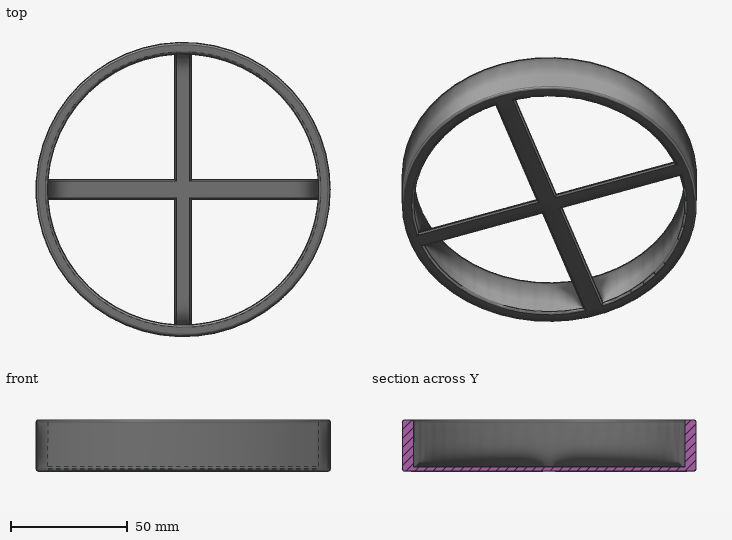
import cadquery as cq

outer_diameter = 126.0
bore_diameter = 116.0
height = 22.0
rim_radius = 1.0

x_spoke_width = 8.7
y_spoke_width = 7.2
spoke_thickness = 2.0
spoke_chamfer = 0.8
spoke_end_diameter = (outer_diameter + bore_diameter) / 2


def make_ring():
    """Plain ring with all four rims rounded."""
    ring = cq.Workplane("XY").circle(outer_diameter / 2).circle(bore_diameter / 2).extrude(height)
    return ring.edges("%CIRCLE").fillet(rim_radius)


def make_spokes():
    """Flat cross with its top and bottom edges chamfered and its ends hidden in the ring wall."""
    x_spoke = cq.Workplane("XY").rect(outer_diameter, x_spoke_width).extrude(spoke_thickness)
    y_spoke = cq.Workplane("XY").rect(y_spoke_width, outer_diameter).extrude(spoke_thickness)
    cross = x_spoke.union(y_spoke).faces("<Z or >Z").edges().chamfer(spoke_chamfer)
    end_limit = cq.Workplane("XY").circle(spoke_end_diameter / 2).extrude(spoke_thickness)
    return cross.intersect(end_limit)


result = make_ring().union(make_spokes())